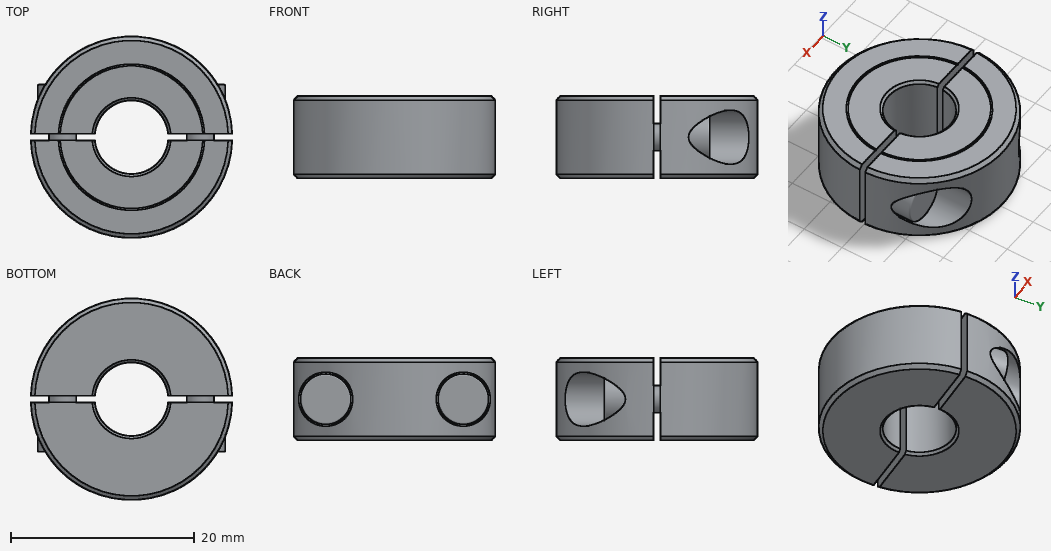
import cadquery as cq


OUTER_RADIUS = 11.0
BORE_RADIUS = 4.0
WIDTH = 9.0
OUTER_CHAMFER = 0.45
BORE_CHAMFER = 0.3
SPLIT_GAP = 0.72

GROOVE_RING_RADIUS = 7.88
GROOVE_RADIUS = 0.1

SCREW_OFFSET = 7.5
SCREW_POSITIONS = (-SCREW_OFFSET, SCREW_OFFSET)
SHANK_RADIUS = 1.5
SHANK_LENGTH = 8.0
HEAD_RADIUS = 2.75
HEAD_HEIGHT = 3.0
HEAD_FILLET = 0.2
HEAD_TOP_Y = 5.75
HEAD_SEAT_Y = HEAD_TOP_Y - HEAD_HEIGHT
SHANK_END_Y = HEAD_SEAT_Y - SHANK_LENGTH

COUNTERBORE_RADIUS = 2.95


def cylinder_along_y(x, radius, y_start, y_end):
    """Cylinder parallel to Y, centred at the given x and at mid-width."""
    return (
        cq.Workplane("XZ", origin=(x, y_start, 0))
        .circle(radius)
        .extrude(y_start - y_end)
    )


def make_ring():
    """Full collar ring before splitting, centred on the origin."""
    half_width = WIDTH / 2
    profile = [
        (BORE_RADIUS + BORE_CHAMFER, -half_width),
        (OUTER_RADIUS - OUTER_CHAMFER, -half_width),
        (OUTER_RADIUS, -half_width + OUTER_CHAMFER),
        (OUTER_RADIUS, half_width - OUTER_CHAMFER),
        (OUTER_RADIUS - OUTER_CHAMFER, half_width),
        (BORE_RADIUS + BORE_CHAMFER, half_width),
        (BORE_RADIUS, half_width - BORE_CHAMFER),
        (BORE_RADIUS, -half_width + BORE_CHAMFER),
    ]
    ring = cq.Workplane("XZ").polyline(profile).close().revolve(360, (0, 0), (0, 1))
    groove = (
        cq.Workplane("XZ")
        .center(GROOVE_RING_RADIUS, half_width)
        .circle(GROOVE_RADIUS)
        .revolve(360, (-GROOVE_RING_RADIUS, 0), (-GROOVE_RING_RADIUS, 1))
    )
    return ring.cut(groove)


def make_half(side):
    """Half of the ring on the +Y (side = 1) or -Y (side = -1) side of the split, with shank holes."""
    keep = cq.Workplane("XY").box(2 * OUTER_RADIUS, OUTER_RADIUS, WIDTH)
    keep = keep.translate((0, side * (SPLIT_GAP + OUTER_RADIUS) / 2, 0))
    half = make_ring().intersect(keep)
    for x in SCREW_POSITIONS:
        half = half.cut(cylinder_along_y(x, SHANK_RADIUS, SHANK_END_Y, HEAD_SEAT_Y))
    return half


def make_head_half():
    """Half on the +Y side, with a counterbore open to the rim for each screw head."""
    half = make_half(1)
    for x in SCREW_POSITIONS:
        half = half.cut(cylinder_along_y(x, COUNTERBORE_RADIUS, HEAD_SEAT_Y, OUTER_RADIUS))
    return half


def make_threaded_half():
    """Half on the -Y side, with blind holes for the screw ends."""
    return make_half(-1)


def make_screw(x):
    """Cap screw with a rounded head rim, head towards +Y."""
    head = cylinder_along_y(x, HEAD_RADIUS, HEAD_SEAT_Y, HEAD_TOP_Y).faces(">Y").edges().fillet(HEAD_FILLET)
    shank = cylinder_along_y(x, SHANK_RADIUS, SHANK_END_Y, HEAD_SEAT_Y)
    return head.union(shank)


head_half = make_head_half()
threaded_half = make_threaded_half()
screws = [make_screw(x) for x in SCREW_POSITIONS]

result = cq.Compound.makeCompound(
    [head_half.val(), threaded_half.val(), *[screw.val() for screw in screws]]
)